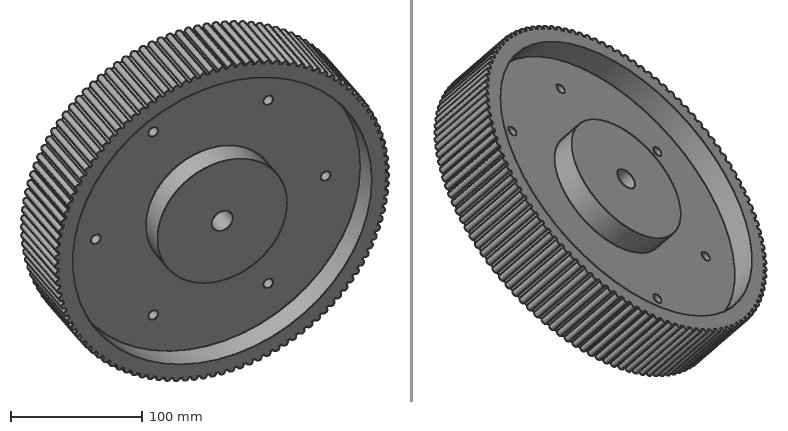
import cadquery as cq
import math

outer_diameter = 283.8
width = 60.0

tooth_count = 112
tooth_diameter = 5.5
tooth_height = 2.8

recess_outer_diameter = 254.0
hub_diameter = 110.0
recess_depth = width / 3

bore_diameter = 18.0
bolt_hole_diameter = 8.2
bolt_hole_count = 6
bolt_circle_radius = 97.5


def polar_point(radius, angle):
    """Point in the YZ plane at the given radius and angle from +Y."""
    return (radius * math.cos(angle), radius * math.sin(angle))


def toothed_blank():
    """Solid disc with teeth around its rim; one tooth is centred on the +Y axis."""
    tip_radius = outer_diameter / 2
    root_radius = tip_radius - tooth_height
    tooth_radius = tooth_diameter / 2
    center_radius = tip_radius - tooth_radius
    pitch_angle = 2 * math.pi / tooth_count

    foot_angle = math.acos(
        (root_radius**2 + center_radius**2 - tooth_radius**2) / (2 * root_radius * center_radius)
    )

    outline = cq.Workplane("YZ").moveTo(*polar_point(root_radius, -foot_angle))
    for tooth in range(tooth_count):
        middle = tooth * pitch_angle
        next_middle = middle + pitch_angle
        outline = outline.threePointArc(
            polar_point(tip_radius, middle),
            polar_point(root_radius, middle + foot_angle),
        )
        outline = outline.threePointArc(
            polar_point(root_radius, middle + pitch_angle / 2),
            polar_point(root_radius, next_middle - foot_angle),
        )
    return outline.close().extrude(width)


def recess(start):
    """Ring-shaped pocket between the rim and the hub, starting at the given X."""
    return (
        cq.Workplane("YZ", origin=(start, 0, 0))
        .circle(recess_outer_diameter / 2)
        .circle(hub_diameter / 2)
        .extrude(recess_depth)
    )


def bore():
    """Shaft hole through the hub."""
    return cq.Workplane("YZ").circle(bore_diameter / 2).extrude(width)


def bolt_holes():
    """Ring of holes through the web."""
    return (
        cq.Workplane("YZ")
        .polarArray(bolt_circle_radius, 0, 360, bolt_hole_count)
        .circle(bolt_hole_diameter / 2)
        .extrude(width)
    )


result = toothed_blank()
for recess_start in (0, width - recess_depth):
    result = result.cut(recess(recess_start))
result = result.cut(bore()).cut(bolt_holes())